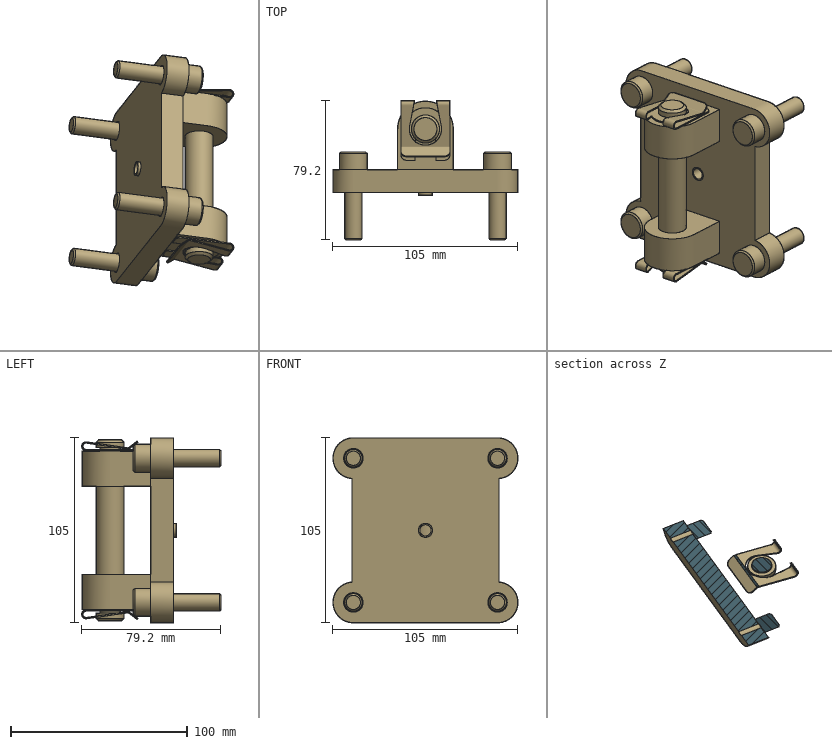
import cadquery as cq
import math

plate_size = 105.0
plate_thickness = 13.0
waist_width = 83.6
screw_spacing = 81.8

lug_gap = 50.0
lug_height = 20.0
pin_offset = 23.0
pin_diameter = 16.0
lug_width = 31.7
pin_length = 102.8
pin_chamfer = 1.5
groove_diameter = 11.5
groove_width = 2.0

screw_diameter = 10.0
screw_hole_diameter = 11.0
screw_length = 40.0
screw_head_diameter = 16.0
screw_head_height = 10.0
screw_chamfer = 0.9

sleeve_diameter = 8.0
sleeve_bore = 6.4
sleeve_projection = 1.6

clip_width = 27.8
clip_thickness = 0.7
clip_lift = 0.2
clip_bend_radius = 2.5
clip_rear_reach = 16.2
clip_leg_reach = 17.7
clip_fold_reach = 10.5
clip_lip_run = 5.2
clip_lip_angle = math.radians(37)
clip_gap = 0.1
clip_corner_radius = 3.2
clip_fold_radius = 0.5
slot_diameter = 12.0
slot_throat = 11.3
slot_mouth = 12.0
arm_hole_diameter = 18.3
arm_slot_taper = math.radians(11)
base_end_radius = 12.1

corner_radius = (plate_size - screw_spacing) / 2
pin_y = plate_thickness + pin_offset
lug_outer_z = lug_gap / 2 + lug_height
screw_places = [
    (x * screw_spacing / 2, z * screw_spacing / 2) for x in (-1, 1) for z in (-1, 1)
]


def cylinder_along_y(diameter, y_start, y_end, x=0.0, z=0.0):
    return cq.Workplane(
        cq.Solid.makeCylinder(
            diameter / 2, y_end - y_start, cq.Vector(x, y_start, z), cq.Vector(0, 1, 0)
        )
    )


def prism_along_z(sketch, z_start, z_end):
    """Extrude a closed XY outline from z_start to z_end."""
    return sketch.extrude(z_end - z_start).translate((0, 0, z_start))


def make_lug(z_start):
    block = cq.Workplane("XY").rect(lug_width, pin_offset).extrude(lug_height)
    block = block.translate((0, plate_thickness + pin_offset / 2, 0))
    rounded_end = cq.Workplane("XY").center(0, pin_y).circle(lug_width / 2).extrude(lug_height)
    return block.union(rounded_end).translate((0, 0, z_start))


def make_plate():
    plate = cq.Workplane("XY").box(
        waist_width, plate_thickness, screw_spacing, centered=(True, False, True)
    )
    for side in (-1, 1):
        bar = cq.Workplane("XY").box(
            screw_spacing, plate_thickness, 2 * corner_radius, centered=(True, False, True)
        )
        plate = plate.union(bar.translate((0, 0, side * screw_spacing / 2)))
    for x, z in screw_places:
        plate = plate.union(cylinder_along_y(2 * corner_radius, 0, plate_thickness, x, z))
    for z_start in (lug_gap / 2, -lug_outer_z):
        plate = plate.union(make_lug(z_start))

    for x, z in screw_places:
        plate = plate.cut(cylinder_along_y(screw_hole_diameter, 0, plate_thickness, x, z))
    plate = plate.cut(cylinder_along_y(sleeve_diameter, 0, plate_thickness))
    pin_hole = cq.Workplane("XY").center(0, pin_y).circle(pin_diameter / 2)
    return plate.cut(pin_hole.extrude(lug_outer_z, both=True))


def make_pin():
    pin = cq.Workplane("XY").center(0, pin_y).circle(pin_diameter / 2).extrude(pin_length / 2, both=True)
    pin = pin.faces("<Z or >Z").edges().chamfer(pin_chamfer)
    groove = (
        cq.Workplane("XY")
        .center(0, pin_y)
        .circle(pin_diameter / 2)
        .circle(groove_diameter / 2)
        .extrude(groove_width)
    )
    for z_start in (lug_outer_z, -lug_outer_z - groove_width):
        pin = pin.cut(groove.translate((0, 0, z_start)))
    return pin


def make_screw(x, z):
    tip_y = plate_thickness - screw_length
    shank = cylinder_along_y(screw_diameter, tip_y, plate_thickness, x, z)
    shank = shank.faces("<Y").edges().chamfer(screw_chamfer)
    head = cylinder_along_y(
        screw_head_diameter, plate_thickness, plate_thickness + screw_head_height, x, z
    )
    head = head.faces(">Y").edges().chamfer(screw_chamfer)
    return shank.union(head)


def make_sleeve():
    outside = cylinder_along_y(sleeve_diameter, -sleeve_projection, plate_thickness)
    return outside.cut(cylinder_along_y(sleeve_bore, -sleeve_projection, plate_thickness))


def round_fold(strip, corner, radius):
    """Round the bend edge that runs along X through the (Y, Z) corner."""
    return strip.edges(cq.selectors.NearestToPointSelector((0, *corner))).fillet(radius)


def make_clip_strip():
    """Bent strip: flat base, rear bend, sloping arm and upturned lip.

    The profile is in (Y from the pin axis, height above the base's lower face).
    """
    t = clip_thickness
    outer = clip_bend_radius
    inner = outer - t
    bend_y = clip_rear_reach - outer
    fold_y = -clip_fold_reach
    fold_height = t + clip_gap

    run = bend_y - fold_y
    rise = outer - fold_height
    arm_angle = math.atan2(rise, run) + math.asin(inner / math.hypot(run, rise))
    arm_normal = (-math.sin(arm_angle), math.cos(arm_angle))
    lip_normal = (math.sin(clip_lip_angle), math.cos(clip_lip_angle))

    mitre = t / (1 + arm_normal[0] * lip_normal[0] + arm_normal[1] * lip_normal[1])
    fold_top = (
        fold_y + mitre * (arm_normal[0] + lip_normal[0]),
        fold_height + mitre * (arm_normal[1] + lip_normal[1]),
    )
    lip_end = (fold_y - clip_lip_run, fold_height + clip_lip_run * math.tan(clip_lip_angle))
    lip_end_top = (lip_end[0] + t * lip_normal[0], lip_end[1] + t * lip_normal[1])

    profile = (
        cq.Workplane("YZ")
        .moveTo(-clip_leg_reach, 0)
        .lineTo(bend_y, 0)
        .threePointArc(
            (bend_y + outer, outer),
            (bend_y + outer * arm_normal[0], outer + outer * arm_normal[1]),
        )
        .lineTo(*fold_top)
        .lineTo(*lip_end_top)
        .lineTo(*lip_end)
        .lineTo(fold_y, fold_height)
        .lineTo(bend_y + inner * arm_normal[0], outer + inner * arm_normal[1])
        .threePointArc((bend_y + inner, outer), (bend_y, t))
        .lineTo(-clip_leg_reach, t)
        .close()
    )
    strip = profile.extrude(clip_width / 2, both=True)
    strip = round_fold(strip, fold_top, clip_fold_radius)
    strip = round_fold(strip, (fold_y, fold_height), clip_fold_radius + t)
    strip = strip.edges("|Z").fillet(clip_corner_radius)
    lip_corners = cq.selectors.ParallelDirSelector(cq.Vector(0, *lip_normal))
    return strip.edges(lip_corners).fillet(clip_corner_radius)


def arm_opening():
    """Round hole for the pin head with a slot that narrows toward the bend."""
    radius = arm_hole_diameter / 2
    tangent_x = radius * math.cos(arm_slot_taper)
    tangent_y = radius * math.sin(arm_slot_taper)
    rear_x = tangent_x - (clip_rear_reach - tangent_y) * math.tan(arm_slot_taper)
    return (
        cq.Workplane("XY")
        .moveTo(tangent_x, tangent_y)
        .lineTo(rear_x, clip_rear_reach)
        .lineTo(-rear_x, clip_rear_reach)
        .lineTo(-tangent_x, tangent_y)
        .threePointArc((0, -radius), (tangent_x, tangent_y))
        .close()
    )


def base_slot():
    """Round seat around the pin groove with a slightly flared slot, open at the leg tips."""
    radius = slot_diameter / 2
    throat_x = slot_throat / 2
    throat_y = -math.sqrt(radius**2 - throat_x**2)
    mouth_x = slot_mouth / 2
    return (
        cq.Workplane("XY")
        .moveTo(-mouth_x, -clip_leg_reach)
        .lineTo(-throat_x, throat_y)
        .threePointArc((0, radius), (throat_x, throat_y))
        .lineTo(mouth_x, -clip_leg_reach)
        .close()
    )


def make_clip(side):
    """Clip on the upper (side = 1) or lower (side = -1) lug face."""
    base_top = clip_thickness + clip_gap / 2
    clip_top = 2 * clip_bend_radius + clip_thickness
    clip = make_clip_strip()
    clip = clip.cut(prism_along_z(arm_opening(), base_top, clip_top))
    kept_base = cq.Workplane("XY").circle(base_end_radius).extrude(base_top)
    clip = clip.cut(prism_along_z(arm_opening(), 0, base_top).cut(kept_base))
    clip = clip.cut(prism_along_z(base_slot(), 0, base_top))
    clip = clip.translate((0, pin_y, lug_outer_z + clip_lift))
    return clip if side > 0 else clip.mirror("XY")


plate = make_plate()
pin = make_pin()
sleeve = make_sleeve()
screws = [make_screw(x, z) for x, z in screw_places]
clips = [make_clip(side) for side in (1, -1)]

result = cq.Compound.makeCompound(
    [
        plate.val(),
        pin.val(),
        sleeve.val(),
        *[screw.val() for screw in screws],
        *[clip.val() for clip in clips],
    ]
)